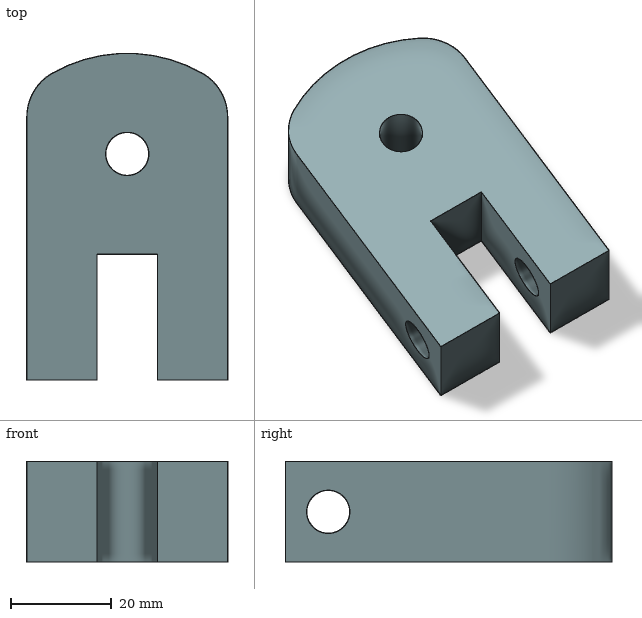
import cadquery as cq
import math

length = 65.0
width = 40.0
thickness = 20.0

crown_radius = 30.0
corner_radius = 10.0

slot_width = 12.0
slot_depth = 25.0

hole_diameter = 8.5
pivot_from_rear = 20.0
pin_from_front = 8.5

half_width = width / 2
half_slot = slot_width / 2
crown_center_y = length - crown_radius

corner_center_x = half_width - corner_radius
center_distance = crown_radius - corner_radius
corner_rise = math.sqrt(center_distance**2 - corner_center_x**2)
corner_center_y = crown_center_y + corner_rise
tangent_x = crown_radius * corner_center_x / center_distance
tangent_y = crown_center_y + crown_radius * corner_rise / center_distance

corner_mid_angle = math.atan2(corner_rise, corner_center_x) / 2
corner_mid_x = corner_center_x + corner_radius * math.cos(corner_mid_angle)
corner_mid_y = corner_center_y + corner_radius * math.sin(corner_mid_angle)

body = (
    cq.Workplane("XY")
    .moveTo(half_slot, 0)
    .lineTo(half_width, 0)
    .lineTo(half_width, corner_center_y)
    .threePointArc((corner_mid_x, corner_mid_y), (tangent_x, tangent_y))
    .threePointArc((0, length), (-tangent_x, tangent_y))
    .threePointArc((-corner_mid_x, corner_mid_y), (-half_width, corner_center_y))
    .lineTo(-half_width, 0)
    .lineTo(-half_slot, 0)
    .lineTo(-half_slot, slot_depth)
    .lineTo(half_slot, slot_depth)
    .close()
    .extrude(thickness / 2, both=True)
)

pivot_hole = (
    cq.Workplane("XY")
    .center(0, length - pivot_from_rear)
    .circle(hole_diameter / 2)
    .extrude(thickness, both=True)
)

pin_hole = (
    cq.Workplane("YZ")
    .center(pin_from_front, 0)
    .circle(hole_diameter / 2)
    .extrude(width, both=True)
)

result = body.cut(pivot_hole).cut(pin_hole)